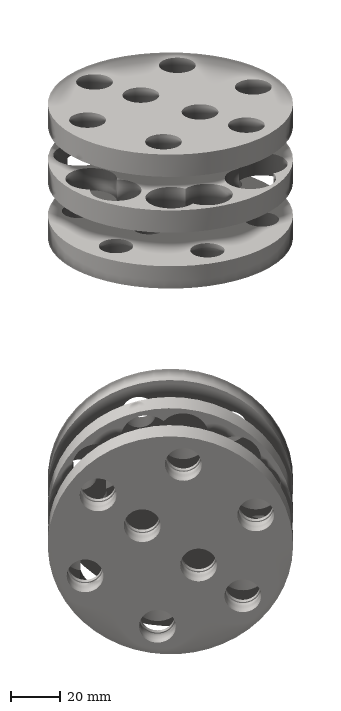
import cadquery as cq

disc_diameter = 99.8
disc_thickness = 10.0
stack_height = 60.0
disc_pitch = (stack_height - disc_thickness) / 2

bore_diameter = 15.0
lip_diameter = 14.0
lip_thickness = 2.0

ring_radius = 37.4
ring_count = 6
pair_radius = 14.6
pair_count = 2
top_ring_angle = 40.9
top_pair_angle = 160.9
bottom_ring_angle = 8.9
bottom_pair_angle = 68.9

lobe_diameter = 21.0
opening_angle = 57.2
lobe_half_spread = 11.5


def plain_disc():
    """Solid disc standing on the XY plane."""
    return cq.Workplane("XY").circle(disc_diameter / 2).extrude(disc_thickness)


def ring_of_cylinders(diameter, height, radius, first_angle, count):
    """Cylinders standing on the XY plane, evenly spaced on a circle."""
    return (
        cq.Workplane("XY")
        .polarArray(radius, first_angle, 360, count)
        .circle(diameter / 2)
        .extrude(height)
    )


def ported_disc(ring_angle, pair_angle):
    """Disc with stepped holes whose narrow lip is at the bottom face."""
    disc = plain_disc()
    bore_depth = disc_thickness - lip_thickness
    for radius, angle, count in (
        (ring_radius, ring_angle, ring_count),
        (pair_radius, pair_angle, pair_count),
    ):
        lips = ring_of_cylinders(lip_diameter, disc_thickness, radius, angle, count)
        bores = ring_of_cylinders(bore_diameter, bore_depth, radius, angle, count)
        disc = disc.cut(lips).cut(bores.translate((0, 0, lip_thickness)))
    return disc


def make_top_disc():
    """Ported disc with its lips facing down."""
    return ported_disc(top_ring_angle, top_pair_angle).translate((0, 0, 2 * disc_pitch))


def make_middle_disc():
    """Disc with a ring of two-lobed through openings."""
    disc = plain_disc()
    for side in (-1, 1):
        lobe_angle = opening_angle + side * lobe_half_spread
        disc = disc.cut(
            ring_of_cylinders(lobe_diameter, disc_thickness, ring_radius, lobe_angle, ring_count)
        )
    return disc.translate((0, 0, disc_pitch))


def make_bottom_disc():
    """Ported disc mirrored so that its lips face up."""
    disc = ported_disc(bottom_ring_angle, bottom_pair_angle)
    return disc.mirror("XY").translate((0, 0, disc_thickness))


top_disc = make_top_disc()
middle_disc = make_middle_disc()
bottom_disc = make_bottom_disc()

result = cq.Compound.makeCompound([top_disc.val(), middle_disc.val(), bottom_disc.val()])